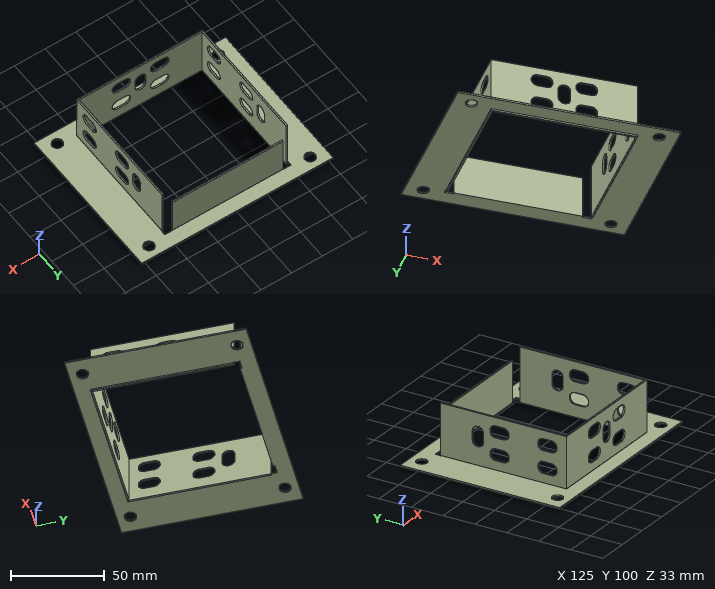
import cadquery as cq

plate_length = 125.0
plate_width = 100.0
sheet = 1.0
plate_bottom = 1.0
opening = 82.0
half_opening = opening / 2

hole_diameter = 6.5
hole_spacing_x = 105.0
hole_spacing_y = 85.0

collar_height = 33.0
collar_back_gap = 3.0
collar_depth = opening - collar_back_gap

flap_length = 72.0
flap_top = 26.0

slot_length = 12.0
slot_width = 7.0
upright_slot_height = 19.0

front_slot_offset = 12.5
front_slot_heights = (10.5, 25.0)

side_slot_distances = (12.0, 42.0)
side_slot_heights = (11.0, 24.5)
side_upright_distance = 55.5


def make_plate():
    """Plate with the square opening and four corner holes."""
    return (
        cq.Workplane("XY", origin=(0, 0, plate_bottom))
        .rect(plate_length, plate_width)
        .rect(opening, opening)
        .extrude(sheet)
        .faces(">Z")
        .workplane(origin=(0, 0, 0))
        .rect(hole_spacing_x, hole_spacing_y, forConstruction=True)
        .vertices()
        .hole(hole_diameter)
    )


def make_collar():
    """Three-sided collar, open at the back."""
    outer = cq.Workplane("XY").box(
        opening, collar_depth, collar_height, centered=(True, False, False)
    )
    inner = (
        cq.Workplane("XY")
        .box(opening - 2 * sheet, collar_depth, collar_height, centered=(True, False, False))
        .translate((0, sheet, 0))
    )
    return outer.cut(inner).translate((0, -half_opening, 0))


def make_flap():
    """Rear flap standing against the back edge of the opening."""
    return (
        cq.Workplane("XY")
        .box(flap_length, sheet, flap_top - plate_bottom, centered=(True, False, False))
        .translate((0, half_opening - sheet, plate_bottom))
    )


def slot_cutter(plane, level_centers, upright_center, depth):
    """Level slots and one upright slot, extruded equally to both sides of the plane."""
    level = plane.pushPoints(level_centers).slot2D(slot_length, slot_width).extrude(depth, both=True)
    upright = (
        plane.pushPoints([upright_center]).slot2D(slot_length, slot_width, 90).extrude(depth, both=True)
    )
    return level.union(upright)


def make_front_slots():
    """Slots through the front wall only."""
    centers = [(x, z) for x in (-front_slot_offset, front_slot_offset) for z in front_slot_heights]
    plane = cq.Workplane("XZ", origin=(0, -half_opening, 0))
    return slot_cutter(plane, centers, (0, upright_slot_height), 2 * sheet)


def make_side_slots():
    """Matching slots through both side walls."""
    centers = [(y, z) for y in side_slot_distances for z in side_slot_heights]
    plane = cq.Workplane("YZ", origin=(0, -half_opening, 0))
    return slot_cutter(plane, centers, (side_upright_distance, upright_slot_height), opening)


collar = make_collar().cut(make_front_slots()).cut(make_side_slots())
result = make_plate().union(collar).union(make_flap())